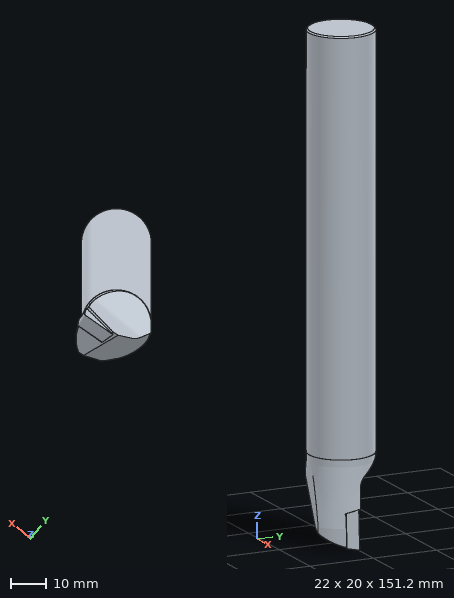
import cadquery as cq
import math

total_length = 151.2
shank_radius = 10.0
top_chamfer = 0.5
neck_relief = 0.06
neck_radius = shank_radius - neck_relief
shank_end_z = 26.5
flare_start_z = 24.2
flare_end_z = 6.5
flare_end_radius = 11.5
cutter_size = 90.8

face_y_at_bottom = 0.5
face_y_at_ramp = 1.2
ramp_foot_z = 20.0
ramp_fillet_radius = 4.5

heel_point = (0.0, 0.6, 7.0)
side_relief_normal = (-1.0, -0.31, -0.47)
end_relief_normal = (-0.577, -0.09, -1.0)

insert_side = 12.3
insert_face_y = 0.2
insert_thickness = 3.8
insert_clearance_angle = 7.0
insert_nose_radius = 0.3
insert_tilt = 3.0
insert_reach_x = 12.0
insert_corner_angle = 60.0


def half_space(point, outward_normal):
    """Large block on the outward side of a plane."""
    plane = cq.Plane(origin=point, normal=outward_normal)
    return cq.Workplane(plane).rect(cutter_size, cutter_size).extrude(cutter_size)


def turned_blank():
    """Shank, short neck and conical flare that ends in a short cylinder."""
    return (
        cq.Workplane("XZ")
        .moveTo(0, 0)
        .lineTo(flare_end_radius, 0)
        .lineTo(flare_end_radius, flare_end_z)
        .lineTo(neck_radius, flare_start_z)
        .lineTo(neck_radius, shank_end_z)
        .lineTo(shank_radius, shank_end_z)
        .lineTo(shank_radius, total_length)
        .lineTo(0, total_length)
        .close()
        .revolve(360, (0, 0, 0), (0, 1, 0))
        .faces(">Z")
        .chamfer(top_chamfer)
    )


def chip_space():
    """Space behind the chip face, closed at the top by the ramp and a rounded corner."""
    ramp_run = shank_radius - face_y_at_ramp
    ramp_slope = (shank_end_z - ramp_foot_z) / ramp_run
    far_y = 2 * shank_radius
    far_z = ramp_foot_z + ramp_slope * (far_y - face_y_at_ramp)
    space = (
        cq.Workplane("YZ")
        .moveTo(face_y_at_bottom, 0)
        .lineTo(face_y_at_ramp, ramp_foot_z)
        .lineTo(far_y, far_z)
        .lineTo(far_y, 0)
        .close()
        .extrude(cutter_size / 2, both=True)
    )
    corner = cq.selectors.NearestToPointSelector((0, face_y_at_ramp, ramp_foot_z))
    return space.edges(corner).fillet(ramp_fillet_radius)


def insert_outline():
    """Triangle of the insert's top face, placed so its rounded nose touches Z = 0."""
    outer_angle = math.radians(90 + insert_tilt)
    end_angle = outer_angle + math.radians(insert_corner_angle)
    nose_x = insert_reach_x - insert_nose_radius
    nose_z = insert_nose_radius
    bisector = (outer_angle + end_angle) / 2
    corner_offset = insert_nose_radius / math.sin(math.radians(insert_corner_angle / 2))
    tip_x = nose_x - corner_offset * math.cos(bisector)
    tip_z = nose_z - corner_offset * math.sin(bisector)
    corners = [(tip_x, tip_z)]
    for angle in (outer_angle, end_angle):
        corners.append((tip_x + insert_side * math.cos(angle), tip_z + insert_side * math.sin(angle)))
    return cq.Workplane("XZ", origin=(0, insert_face_y, 0)).polyline(corners).close()


def make_insert():
    """Plate that narrows away from its top face, with rounded corners."""
    plate = insert_outline().extrude(insert_thickness, taper=insert_clearance_angle)
    return plate.edges("not(#Y)").fillet(insert_nose_radius)


def make_holder(insert):
    """Turned blank with its flats, chip space and an open seat for the insert."""
    space_above_seat = insert_outline().extrude(-shank_radius)
    return (
        turned_blank()
        .cut(half_space((0, -shank_radius, 0), (0, -1, 0)))
        .cut(half_space(heel_point, side_relief_normal))
        .cut(half_space(heel_point, end_relief_normal))
        .cut(chip_space())
        .cut(space_above_seat)
        .cut(insert)
    )


insert = make_insert()
holder = make_holder(insert)
result = cq.Compound.makeCompound([holder.solids().val(), insert.solids().val()])